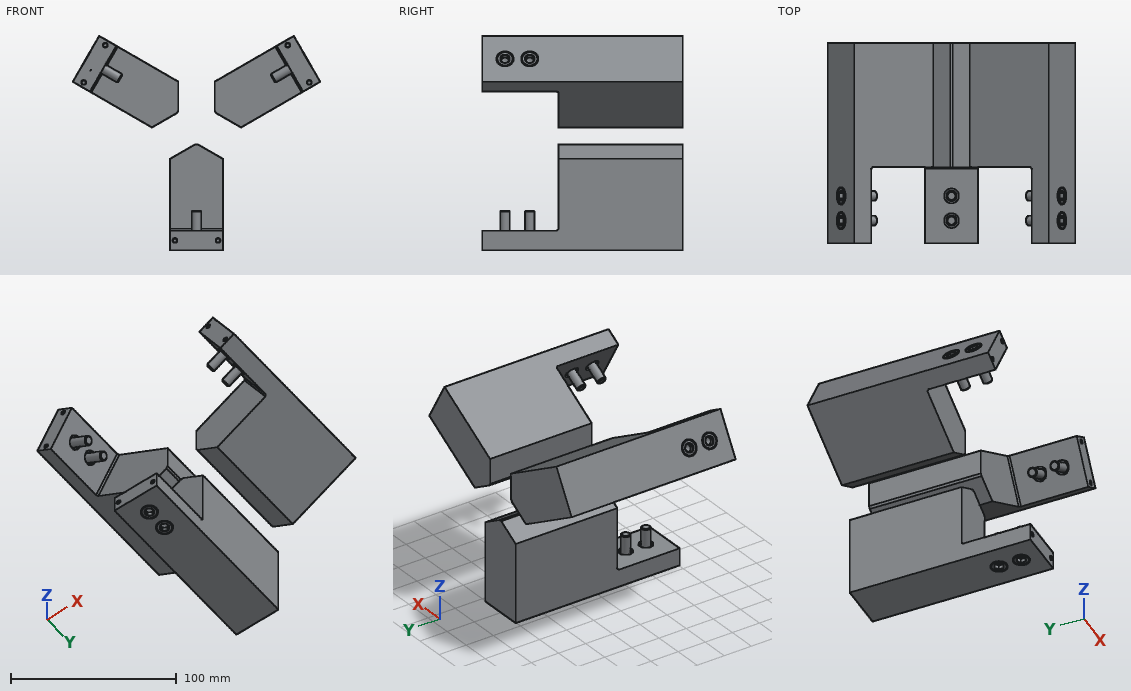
import cadquery as cq
import math

overall_width = 149.4
jaw_count = 3
jaw_pitch_angle = 360.0 / jaw_count

jaw_width = 32.0
jaw_length = 121.0
jaw_height = 64.0
tip_flat_width = 1.8
tip_slope_angle = 30.0
foot_length = 46.0
foot_thickness = 12.0
corner_chamfer = 1.0

end_hole_diameter = 2.4
end_hole_mouth_diameter = 3.0
end_hole_depth = 7.5
end_hole_spacing = 26.0
end_hole_height = foot_thickness / 2

screw_count = 2
screw_end_distance = 13.7
screw_spacing = 15.0
shank_diameter = 6.0
shank_projection = 12.0
shank_tip_chamfer = 0.6
head_diameter = 10.0
head_height = 6.0
head_rim_chamfer = 0.5
socket_sides = 6
socket_width = 5.1
socket_mouth_diameter = 6.0
socket_depth = 3.0
drill_point_angle = 120.0
clearance_diameter = 6.4
counterbore_diameter = 10.5
relief_diameter = 9.0
relief_depth = 1.5

tilt = math.radians(jaw_pitch_angle - 90)
outer_face_radius = (overall_width / 2 - jaw_width / 2 * math.sin(tilt)) / math.cos(tilt)
tip_rise = (jaw_width - tip_flat_width) / 2 * math.tan(math.radians(tip_slope_angle))
shoulder_height = jaw_height - tip_rise
screw_positions = [screw_end_distance + i * screw_spacing for i in range(screw_count)]
socket_corner_diameter = socket_width / math.cos(math.pi / socket_sides)
drill_point_slope = 1 / math.tan(math.radians(drill_point_angle / 2))
socket_cone_height = socket_width / 2 * drill_point_slope
socket_mouth_depth = (socket_mouth_diameter - socket_width) / 2 * drill_point_slope


def cylinder(diameter, y, bottom, height):
    """Upright cylinder on the jaw's centre plane at distance y from its front end."""
    return cq.Workplane("XY", origin=(0, y, bottom)).circle(diameter / 2).extrude(height)


def make_jaw_block():
    """Pointed block with a low foot at its front end; the outer face lies at Z = 0."""
    half_width = jaw_width / 2
    half_flat = tip_flat_width / 2
    block = (
        cq.Workplane("XZ")
        .polyline([
            (-half_width, 0),
            (half_width, 0),
            (half_width, shoulder_height),
            (half_flat, jaw_height),
            (-half_flat, jaw_height),
            (-half_width, shoulder_height),
        ])
        .close()
        .extrude(-jaw_length)
    )
    space_above_foot = (
        cq.Workplane("YZ", origin=(-half_width, 0, 0))
        .polyline([
            (0, foot_thickness),
            (foot_length - corner_chamfer, foot_thickness),
            (foot_length, foot_thickness + corner_chamfer),
            (foot_length, jaw_height),
            (0, jaw_height),
        ])
        .close()
        .extrude(jaw_width)
    )
    return block.cut(space_above_foot)


def make_screw_hole(y):
    """Clearance hole with a head counterbore outside and a shallow relief inside."""
    clearance = cylinder(clearance_diameter, y, 0, foot_thickness)
    counterbore = cylinder(counterbore_diameter, y, 0, head_height)
    relief = cylinder(relief_diameter, y, foot_thickness - relief_depth, relief_depth)
    return clearance.union(counterbore).union(relief)


def make_end_hole(x):
    """Drilled blind hole with a chamfered mouth, entering the front end of the foot."""
    radius = end_hole_diameter / 2
    mouth_radius = end_hole_mouth_diameter / 2
    profile = (
        cq.Workplane("XY", origin=(x, 0, end_hole_height))
        .polyline([
            (0, 0),
            (mouth_radius, 0),
            (radius, mouth_radius - radius),
            (radius, end_hole_depth),
            (0, end_hole_depth + radius * drill_point_slope),
        ])
        .close()
    )
    return profile.revolve(360, (0, 0), (0, 1))


def make_jaw():
    """Complete jaw: the block with its screw holes and end holes."""
    jaw = make_jaw_block()
    for y in screw_positions:
        jaw = jaw.cut(make_screw_hole(y))
    for side in (-1, 1):
        jaw = jaw.cut(make_end_hole(side * end_hole_spacing / 2))
    return jaw


def make_socket(y):
    """Hexagon socket with two corners pointing along Y, a countersunk mouth and a drill-point bottom."""
    hexagon = (
        cq.Workplane(cq.Plane(origin=(0, y, 0), xDir=(0, 1, 0), normal=(0, 0, 1)))
        .polygon(socket_sides, socket_corner_diameter)
        .extrude(socket_depth)
    )
    mouth = cq.Solid.makeCone(
        socket_mouth_diameter / 2, socket_width / 2, socket_mouth_depth, cq.Vector(0, y, 0)
    )
    drill_point = cq.Solid.makeCone(
        socket_width / 2, 0, socket_cone_height, cq.Vector(0, y, socket_depth)
    )
    return hexagon.union(cq.Workplane(mouth)).union(cq.Workplane(drill_point))


def make_screw(y):
    """Cap screw with its head flush in the outer face and its tip past the foot."""
    shank_length = foot_thickness - head_height + shank_projection
    head = cylinder(head_diameter, y, 0, head_height)
    head = head.faces("<Z").chamfer(head_rim_chamfer)
    shank = cylinder(shank_diameter, y, head_height, shank_length)
    shank = shank.faces(">Z").chamfer(shank_tip_chamfer)
    return head.union(shank).cut(make_socket(y))


def place(body, index):
    """Move a body out to its radius and turn it to the given jaw station."""
    moved = body.translate((0, 0, -outer_face_radius))
    return moved.rotate((0, 0, 0), (0, 1, 0), index * jaw_pitch_angle)


jaws = []
screws = []
for index in range(jaw_count):
    jaws.append(place(make_jaw(), index))
    for y in screw_positions:
        screws.append(place(make_screw(y), index))

result = cq.Compound.makeCompound([body.val() for body in jaws + screws])